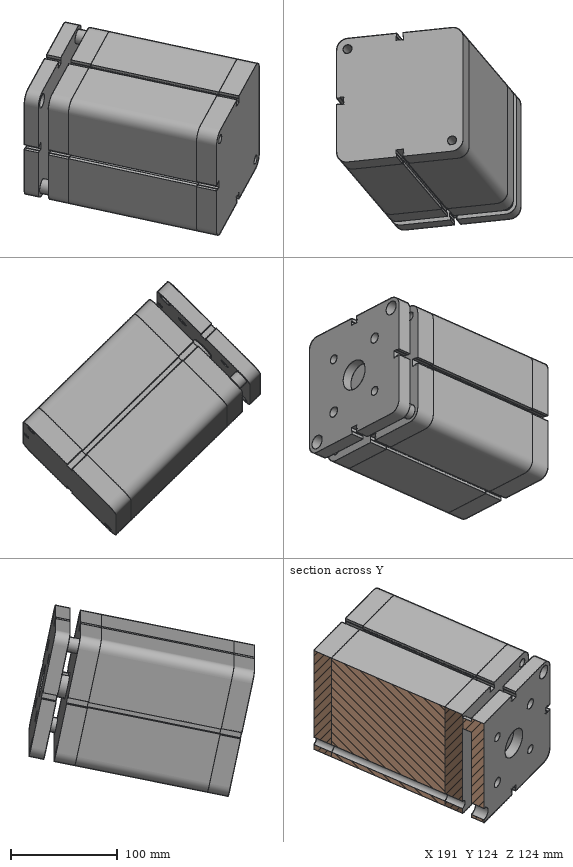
import cadquery as cq


side = 124.0
corner_radius = 10.9

total_length = 191.0
plate_thickness = 14.1
gap_length = 10.0
cap_length = 19.9
plate_back = plate_thickness
front_cap_start = plate_back + gap_length
barrel_start = front_cap_start + cap_length
rear_cap_start = total_length - cap_length

slot_depth = 7.0
slot_lip_depth = 3.5
slot_inner_width = 7.3
cap_slot_width = 6.1
barrel_slot_width = 5.0
slot_turns = (0, 90, 180)

corner_offset = 51.2
guide_diameter = 14.1
screw_access_diameter = 13.8
screw_hole_diameter = 8.5
guide_places = [(corner_offset, corner_offset), (-corner_offset, -corner_offset)]
screw_places = [(-corner_offset, corner_offset), (corner_offset, -corner_offset)]

mounting_offset = 28.3
thread_diameter = 10.3
dowel_diameter = 9.0
thread_places = [(-mounting_offset, mounting_offset), (mounting_offset, -mounting_offset)]
dowel_places = [(mounting_offset, mounting_offset), (-mounting_offset, -mounting_offset)]
recess_diameter = 30.2
recess_depth = 10.0

rod_diameter = 25.0
rod_chamfer = 0.8
flat_width = 22.0
flat_length = 8.8


def section_plane(x):
    """Workplane facing +X at station x; its local axes are Y and Z."""
    return cq.Workplane("YZ", origin=(x, 0, 0))


def cylinders(x, length, diameter, places):
    """Round bars or hole cutters along X, centred on (Y, Z) places."""
    return section_plane(x).pushPoints(places).circle(diameter / 2).extrude(length)


def slot_cutter(x, length, opening_width):
    """Slot in the top face: a narrow opening over a wider bottom."""
    face = side / 2
    opening = (
        section_plane(x).center(0, face - slot_depth / 2).rect(opening_width, slot_depth).extrude(length)
    )
    inner_height = slot_depth - slot_lip_depth
    inner = (
        section_plane(x)
        .center(0, face - slot_depth + inner_height / 2)
        .rect(slot_inner_width, inner_height)
        .extrude(length)
    )
    return opening.union(inner)


def slotted_block(x, length, opening_width):
    """Rounded square block with a slot in the top, -Y and bottom faces."""
    block = section_plane(x).rect(side, side).extrude(length).edges("|X").fillet(corner_radius)
    cutter = slot_cutter(x, length, opening_width)
    for turn in slot_turns:
        block = block.cut(cutter.rotate((0, 0, 0), (1, 0, 0), turn))
    return block


def housing_section(x, length, opening_width):
    """Slotted block with the two screw holes running through it."""
    block = slotted_block(x, length, opening_width)
    return block.cut(cylinders(x, length, screw_hole_diameter, screw_places))


def make_yoke():
    """Yoke plate carrying the two guide rods, which end at the front cap."""
    plate = slotted_block(0, plate_thickness, cap_slot_width)
    plate = plate.cut(cylinders(0, plate_thickness, screw_access_diameter, screw_places))
    plate = plate.cut(cylinders(0, plate_thickness, thread_diameter, thread_places))
    plate = plate.cut(cylinders(0, plate_thickness, dowel_diameter, dowel_places))
    plate = plate.cut(cylinders(0, recess_depth, recess_diameter, [(0, 0)]))
    return plate.union(cylinders(plate_back, gap_length, guide_diameter, guide_places))


def make_piston_rod():
    """Rod between plate and front cap, with wrench flats facing -Y and +Y."""
    rod = section_plane(plate_back).circle(rod_diameter / 2).extrude(gap_length)
    rod = rod.faces("<X").chamfer(rod_chamfer)
    flat_depth = (rod_diameter - flat_width) / 2
    for direction in (-1, 1):
        flat_center = direction * (flat_width + flat_depth) / 2
        cutter = section_plane(plate_back).center(flat_center, 0).rect(flat_depth, rod_diameter)
        rod = rod.cut(cutter.extrude(flat_length))
    return rod


yoke = make_yoke()
piston_rod = make_piston_rod()
front_cap = housing_section(front_cap_start, cap_length, cap_slot_width)
barrel = housing_section(barrel_start, rear_cap_start - barrel_start, barrel_slot_width)
rear_cap = housing_section(rear_cap_start, cap_length, cap_slot_width)

result = cq.Compound.makeCompound(
    [yoke.val(), piston_rod.val(), front_cap.val(), barrel.val(), rear_cap.val()]
)